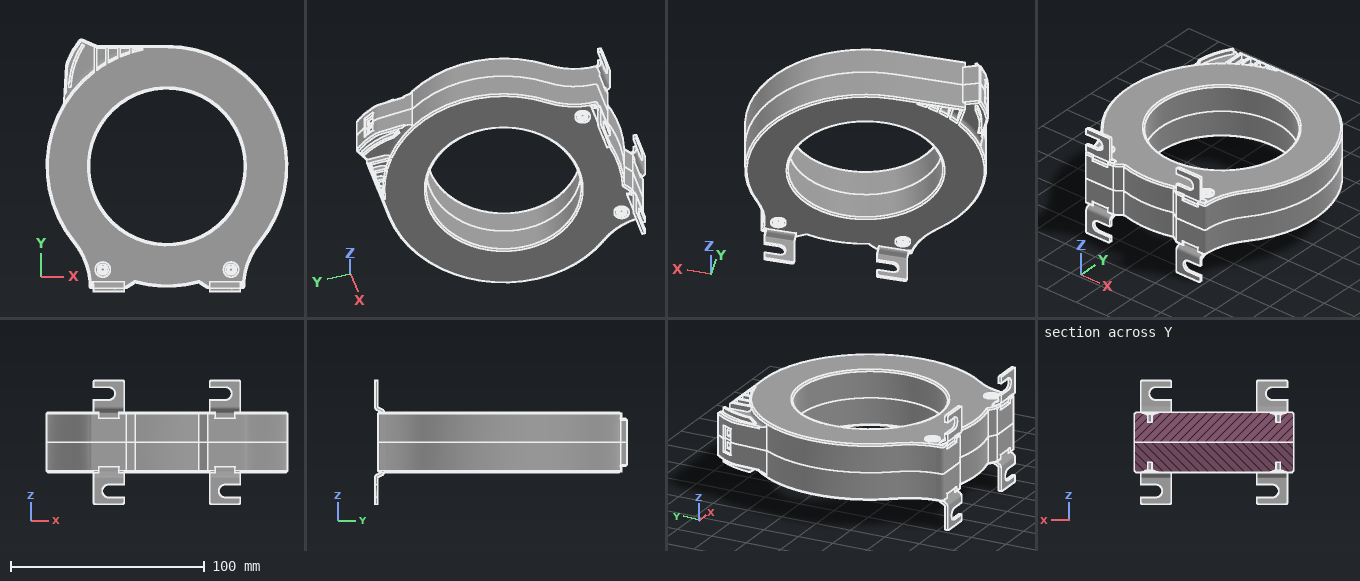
import cadquery as cq
import math

ring_radius = 62.3
bore_radius = 40.0
half_height = 15.6
edge_chamfer = 0.9

foot_half_width = 40.0
foot_y = -63.1
foot_inner_x = 21.0
foot_notch_x = 16.4
foot_corner_radius = 1.3
neck_radius = 36.1
neck_end_y = -59.0

corner_x = -37.5
corner_wall = 1.3
pocket_end_x = -12.5
rib_xs = [-30.9, -24.6, -18.5]
rib_width = 1.3

wing_half_height = 12.4
wing_chamfer = 0.9
cove_radius = half_height - edge_chamfer - wing_half_height
wing_peak = (-44.0, 65.7)
wing_tip = (-45.1, 65.3)
wing_shoulder = (-47.6, 61.7)
socket_face_top = (-48.9, 59.8)
socket_face_bottom = (-51.2, 54.9)
wing_side_top = (-52.3, 51.2)
wing_side_bottom = (-53.3, 32.6)

ridge_centre = (-7.3, 39.2)
ridge_radius = 42.9
ridge_angles = (147, 178)
ridge_width = 1.2
ridge_top_z = 15.1
ramp_top_y = 43.9
ramp_foot_y = 40.4

socket_height = 14.9
socket_width = 6.3
socket_depth = 1.3
pin_hole_size = 3.3
pin_hole_z = 3.5
pin_hole_depth = 2.0

screw_x = 33.1
screw_y = -53.3
screw_steps = [(3.9, 0.4), (2.7, 0.8), (1.8, 1.2), (1.0, 5.2)]

bracket_x = -30.0
bracket_width = 15.9
bracket_half_height = 64.0 / 2
sheet = 1.5
strap_back_y = -59.6
tab_front_y = -64.7
tab_back_y = tab_front_y + sheet
joggle_start_z = 16.4
joggle_end_z = 18.1
inner_bend_radius = 0.7
tab_corner_radius = 0.9
tab_slot_width = 6.5
tab_slot_x = -30.1
tab_slot_z = 25.2

mouth_front_y = -61.9
mouth_outer_gap = 0.8
mouth_depth = 3.1
window_width = 10.3


def on_circle(radius, degrees):
    """Point on a circle about the origin."""
    angle = math.radians(degrees)
    return radius * math.cos(angle), radius * math.sin(angle)


def main_block():
    """Ring disc with its foot and flat corner, chamfered everywhere but along the corner wall."""
    neck_x = foot_half_width + neck_radius
    neck_y = -math.sqrt((ring_radius + neck_radius) ** 2 - neck_x ** 2)
    tangent_angle = math.degrees(math.atan2(-neck_y, neck_x))
    tangent_x, drop = on_circle(ring_radius, tangent_angle)
    end_angle = math.degrees(math.asin((neck_end_y - neck_y) / neck_radius))
    end_x = neck_x - on_circle(neck_radius, end_angle)[0]
    mid_dx, mid_dy = on_circle(neck_radius, (tangent_angle + end_angle) / 2)
    neck_mid_x = neck_x - mid_dx
    neck_mid_y = neck_y + mid_dy
    notch_y = -math.sqrt(ring_radius ** 2 - foot_notch_x ** 2)
    corner_y = math.sqrt(ring_radius ** 2 - corner_x ** 2)
    outline = (
        cq.Workplane("XY")
        .moveTo(0, ring_radius)
        .threePointArc((ring_radius, 0), (tangent_x, -drop))
        .threePointArc((neck_mid_x, neck_mid_y), (end_x, neck_end_y))
        .lineTo(foot_half_width, foot_y)
        .lineTo(foot_inner_x, foot_y)
        .lineTo(foot_notch_x, notch_y)
        .threePointArc((0, -ring_radius), (-foot_notch_x, notch_y))
        .lineTo(-foot_inner_x, foot_y)
        .lineTo(-foot_half_width, foot_y)
        .lineTo(-end_x, neck_end_y)
        .threePointArc((-neck_mid_x, neck_mid_y), (-tangent_x, -drop))
        .threePointArc((-ring_radius, 0), (corner_x, corner_y))
        .lineTo(corner_x, ring_radius)
        .close()
    )
    block = outline.extrude(half_height)
    for side in (-1, 1):
        corner = cq.selectors.NearestToPointSelector((side * foot_half_width, foot_y, half_height / 2))
        block = block.edges(corner).fillet(foot_corner_radius)
    corner_wall_edge = "|Y"
    return block.faces(">Z").edges(f"not {corner_wall_edge}").chamfer(edge_chamfer)


def space_around_ring():
    """Space outside the ring above the wing's flat side, bounded by the edge chamfer and the cove."""
    reach = 1.5 * ring_radius
    shoulder_z = half_height - edge_chamfer
    inset = cove_radius * (1 - math.sqrt(0.5))
    return (
        cq.Workplane("XZ")
        .moveTo(ring_radius - edge_chamfer, half_height)
        .lineTo(ring_radius, shoulder_z)
        .threePointArc(
            (ring_radius + inset, wing_half_height + inset),
            (ring_radius + cove_radius, wing_half_height),
        )
        .lineTo(reach, wing_half_height)
        .lineTo(reach, half_height)
        .close()
        .revolve(360, (0, 0, 0), (0, 1, 0))
    )


def wing_prism(height):
    """Wing outline, reaching into the ring and the corner wall, extruded up from Z = 0."""
    inner_x = corner_x + corner_wall
    return (
        cq.Workplane("XY")
        .moveTo(*wing_peak)
        .lineTo(*wing_tip)
        .lineTo(*wing_shoulder)
        .tangentArcPoint(socket_face_top, relative=False)
        .lineTo(*socket_face_bottom)
        .tangentArcPoint(wing_side_top, relative=False)
        .lineTo(*wing_side_bottom)
        .lineTo(inner_x, wing_side_bottom[1])
        .lineTo(inner_x, ring_radius)
        .close()
        .extrude(height)
    )


def wing():
    """Connector wing with a chamfered rim and a cove against the ring."""
    plate = wing_prism(wing_half_height).faces(">Z").chamfer(wing_chamfer)
    cove = (
        cq.Workplane("XY")
        .circle(ring_radius + cove_radius)
        .circle(ring_radius - edge_chamfer)
        .extrude(half_height)
        .intersect(wing_prism(half_height - edge_chamfer))
        .cut(space_around_ring())
    )
    return plate.union(cove)


def corner_pockets():
    """Pockets beside the ring, separated by the ribs of the flat corner."""
    left = corner_x + corner_wall
    region = (
        cq.Workplane("XY")
        .box(pocket_end_x - left, ring_radius - corner_wall, half_height, centered=False)
        .translate((left, 0, 0))
    )
    for rib_x in rib_xs:
        rib = cq.Workplane("XY").box(rib_width, 2 * ring_radius, 2 * half_height)
        region = region.cut(rib.translate((rib_x, 0, 0)))
    return space_around_ring().intersect(region)


def wing_ridge():
    """Curved ridge following the wing's outer side, with a ramp at its lower end."""
    first, last = ridge_angles
    middle = (first + last) / 2
    inner = ridge_radius - ridge_width / 2
    outer = ridge_radius + ridge_width / 2
    wall = (
        cq.Workplane("XY", origin=(*ridge_centre, 0))
        .moveTo(*on_circle(outer, first))
        .threePointArc(on_circle(outer, middle), on_circle(outer, last))
        .lineTo(*on_circle(inner, last))
        .threePointArc(on_circle(inner, middle), on_circle(inner, first))
        .close()
        .extrude(ridge_top_z)
    )
    side_profile = (
        cq.Workplane("YZ")
        .moveTo(ramp_foot_y, wing_half_height)
        .lineTo(ramp_top_y, ridge_top_z)
        .lineTo(wing_peak[1], ridge_top_z)
        .lineTo(wing_peak[1], wing_half_height)
        .close()
        .extrude(-ring_radius)
    )
    return wall.intersect(side_profile)


def socket():
    """Connector socket sunk square to the wing's end face, with two pin holes in its floor."""
    top_x, top_y = socket_face_top
    bottom_x, bottom_y = socket_face_bottom
    down_x = bottom_x - top_x
    down_y = bottom_y - top_y
    middle = ((top_x + bottom_x) / 2, (top_y + bottom_y) / 2, 0)
    face = cq.Workplane(cq.Plane(origin=middle, xDir=(down_x, down_y, 0), normal=(down_y, -down_x, 0)))
    pocket = face.rect(socket_width, socket_height).extrude(socket_depth, both=True)
    pins = (
        face.pushPoints([(0, -pin_hole_z), (0, pin_hole_z)])
        .rect(pin_hole_size, pin_hole_size)
        .extrude(-socket_depth - pin_hole_depth)
    )
    return pocket.union(pins)


def bore():
    """Central hole with its chamfered rim."""
    hole = cq.Workplane("XY").circle(bore_radius).extrude(half_height)
    rim = (
        cq.Workplane("XY", origin=(0, 0, half_height - edge_chamfer))
        .circle(bore_radius)
        .workplane(offset=edge_chamfer)
        .circle(bore_radius + edge_chamfer)
        .loft()
    )
    return hole.union(rim)


def screw_recess(x):
    """Stepped round recess, narrower as it goes down."""
    recess = cq.Workplane("XY")
    for radius, depth in screw_steps:
        step = cq.Workplane("XY", origin=(x, screw_y, half_height - depth)).circle(radius).extrude(depth)
        recess = recess.union(step)
    return recess


def strap_slot(side):
    """Snug slot for a bracket strap, with a wider mouth and a window through the foot's front."""
    x = -side * bracket_x
    slot_top = cq.Workplane("XY", origin=(x, strap_back_y, half_height))
    along_strap = (True, False, False)
    strap = slot_top.box(bracket_width, sheet, half_height, centered=along_strap)
    strap = strap.translate((0, -sheet, -half_height))
    mouth_thickness = strap_back_y - mouth_front_y
    mouth = slot_top.box(bracket_width + mouth_outer_gap, mouth_thickness, mouth_depth, centered=along_strap)
    mouth = mouth.translate((side * mouth_outer_gap / 2, -mouth_thickness, -mouth_depth))
    window_thickness = strap_back_y - foot_y
    window = slot_top.box(window_width, window_thickness, mouth_depth, centered=along_strap)
    window = window.translate((0, -window_thickness, -mouth_depth))
    return strap.union(mouth).union(window)


def upper_housing_half():
    """Upper half of the housing, resting on Z = 0."""
    half = main_block().cut(corner_pockets()).union(wing()).union(wing_ridge())
    half = half.cut(bore()).cut(socket())
    for side in (-1, 1):
        half = half.cut(screw_recess(side * screw_x)).cut(strap_slot(side))
    return half


def round_bend(bracket, corner, end, radius):
    """Round the bend line at a profile corner (y, z), in the upper (1) or lower (-1) joggle."""
    y, z = corner
    bend_line = cq.selectors.NearestToPointSelector((bracket_x, y, end * z))
    return bracket.edges("|X").edges(bend_line).fillet(radius)


def left_bracket():
    """Bracket with a strap through the foot and a joggled, slotted tab at each end."""
    strap_front_y = strap_back_y - sheet
    slope = math.atan2(joggle_end_z - joggle_start_z, strap_back_y - tab_back_y)
    front_drop = sheet * (1 - math.sin(slope)) / math.cos(slope)
    back = [
        (strap_back_y, joggle_start_z),
        (tab_back_y, joggle_end_z),
        (tab_back_y, bracket_half_height),
    ]
    front = [
        (tab_front_y, bracket_half_height),
        (tab_front_y, joggle_end_z - front_drop),
        (strap_front_y, joggle_start_z - front_drop),
    ]
    upper = back + front
    lower = [(y, -z) for y, z in reversed(upper)]
    bracket = (
        cq.Workplane("YZ")
        .polyline(upper + lower)
        .close()
        .extrude(bracket_width / 2, both=True)
        .translate((bracket_x, 0, 0))
    )
    for outer_bend, inner_bend in ((back[0], front[2]), (front[1], back[1])):
        for end in (-1, 1):
            bracket = round_bend(bracket, outer_bend, end, inner_bend_radius + sheet)
            bracket = round_bend(bracket, inner_bend, end, inner_bend_radius)
    bracket = bracket.edges("|Y").edges(">Z or <Z").fillet(tab_corner_radius)
    for end in (-1, 1):
        bracket = bracket.cut(tab_slot(end))
    return bracket


def tab_slot(end):
    """Round-ended tab slot, open to -X in the upper tab (end 1) and to +X in the lower one (end -1)."""
    z = end * tab_slot_z
    half_length = 2 * abs(tab_front_y)
    round_end = (
        cq.Workplane("XZ", origin=(tab_slot_x, 0, z))
        .circle(tab_slot_width / 2)
        .extrude(half_length)
    )
    mouth = (
        cq.Workplane("XY")
        .box(bracket_width, 2 * half_length, tab_slot_width)
        .translate((tab_slot_x - end * bracket_width / 2, 0, z))
    )
    return round_end.union(mouth)


upper_half = upper_housing_half()
lower_half = upper_half.mirror("XY")
first_bracket = left_bracket()
brackets = [first_bracket.rotate((0, 0, 0), (0, 1, 0), turn) for turn in (0, 180)]

result = cq.Compound.makeCompound(
    [upper_half.val(), lower_half.val()] + [bracket.val() for bracket in brackets]
)